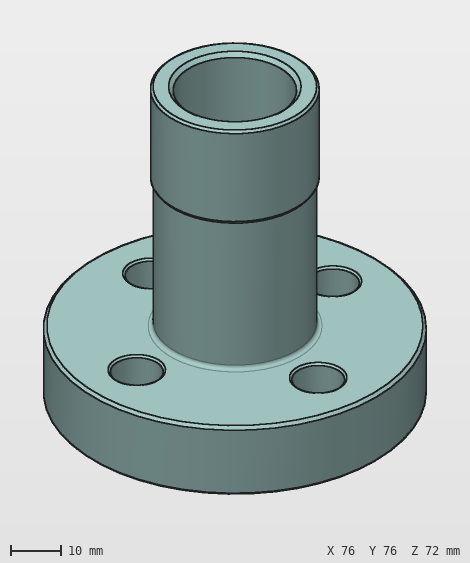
import cadquery as cq

flange_diameter = 76.0
flange_thickness = 15.95
top_edge_chamfer = 0.7
bottom_edge_chamfer = 0.5

total_height = 72.0
tube_diameter = 32.5
tube_root_fillet = 1.0
collar_diameter = 33.5
collar_height = 21.1
collar_top_chamfer = 0.5
collar_base_taper = 0.7

upper_bore_diameter = 24.5
flange_bore_diameter = 24.0
bore_mouth_chamfer = 0.9

bolt_hole_count = 4
bolt_hole_diameter = 10.5
bolt_circle_diameter = 51.1
bolt_hole_chamfer = 0.45


def cylinder(diameter, height, base_z=0.0):
    """Solid cylinder on the Z axis."""
    return cq.Workplane("XY").workplane(offset=base_z).circle(diameter / 2).extrude(height)


def make_flange():
    flange = cylinder(flange_diameter, flange_thickness)
    flange = flange.faces(">Z").edges().chamfer(top_edge_chamfer)
    return flange.faces("<Z").edges().chamfer(bottom_edge_chamfer)


def make_tube_blank():
    """Tube profile revolved about Z, with a root fillet and a collar."""
    tube_radius = tube_diameter / 2
    collar_radius = collar_diameter / 2
    collar_base = total_height - collar_height
    root_top = flange_thickness + tube_root_fillet
    return (
        cq.Workplane("XZ")
        .moveTo(0, flange_thickness / 2)
        .lineTo(tube_radius, flange_thickness / 2)
        .lineTo(tube_radius, flange_thickness)
        .lineTo(tube_radius + tube_root_fillet, flange_thickness)
        .radiusArc((tube_radius, root_top), tube_root_fillet)
        .lineTo(tube_radius, collar_base - collar_base_taper)
        .lineTo(collar_radius, collar_base)
        .lineTo(collar_radius, total_height - collar_top_chamfer)
        .lineTo(collar_radius - collar_top_chamfer, total_height)
        .lineTo(0, total_height)
        .close()
        .revolve(360, (0, 0, 0), (0, 1, 0))
    )


def cut_central_bore(body):
    body = body.cut(cylinder(flange_bore_diameter, total_height))
    upper_bore_depth = total_height - flange_thickness
    body = body.cut(cylinder(upper_bore_diameter, upper_bore_depth, flange_thickness))
    mouth = cq.Solid.makeCone(
        upper_bore_diameter / 2,
        upper_bore_diameter / 2 + bore_mouth_chamfer,
        bore_mouth_chamfer,
        pnt=cq.Vector(0, 0, total_height - bore_mouth_chamfer),
    )
    return body.cut(cq.Workplane(mouth))


def cut_bolt_holes(body):
    """Through holes on the bolt circle, chamfered at the upper flange face."""
    hole = cylinder(bolt_hole_diameter, flange_thickness)
    countersink = cq.Solid.makeCone(
        bolt_hole_diameter / 2,
        bolt_hole_diameter / 2 + bolt_hole_chamfer,
        bolt_hole_chamfer,
        pnt=cq.Vector(0, 0, flange_thickness - bolt_hole_chamfer),
    )
    cutter = hole.union(cq.Workplane(countersink)).translate((bolt_circle_diameter / 2, 0, 0))
    for index in range(bolt_hole_count):
        angle = index * 360 / bolt_hole_count
        body = body.cut(cutter.rotate((0, 0, 0), (0, 0, 1), angle))
    return body


blank = make_flange().union(make_tube_blank())
result = cut_bolt_holes(cut_central_bore(blank))